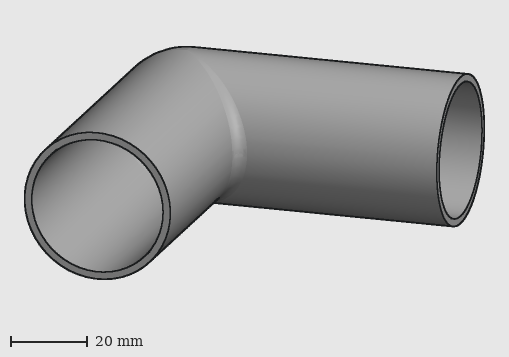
import cadquery as cq

overall_length = 95.0
outer_diameter = 40.0
wall = 2.0
crotch_radius = 3.0

outer_radius = outer_diameter / 2
inner_radius = outer_radius - wall
leg_length = overall_length - outer_radius


def elbow(radius):
    """Two round legs, along +X and -Y, joined by a ball at the origin."""
    x_leg = cq.Workplane("YZ").circle(radius).extrude(leg_length)
    y_leg = cq.Workplane("XZ").circle(radius).extrude(leg_length)
    ball = cq.Workplane("XY").sphere(radius)
    return x_leg.union(y_leg).union(ball)


def round_crotch(body, radius):
    """Fillet the mitre edge where the two legs meet inside the bend."""
    crotch = cq.selectors.NearestToPointSelector((radius, -radius, 0))
    return body.edges(crotch).fillet(crotch_radius)


outside = round_crotch(elbow(outer_radius), outer_radius)
bore = elbow(inner_radius)
result = outside.cut(bore)